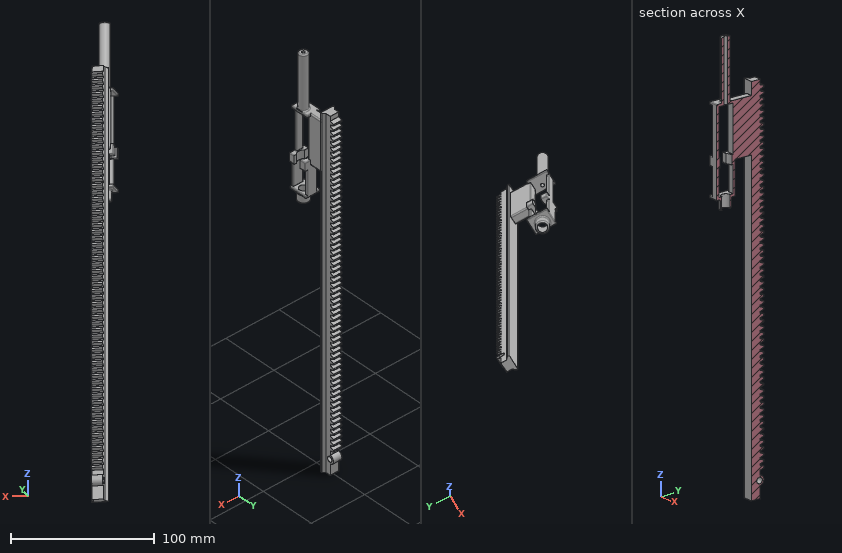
import cadquery as cq
import math

AXIS_X = 8.0
AXIS_Y = 8.2

BAR_HEIGHT = 311.6
FLANGE_WIDTH = 12.0
RACK_INSET = 2.0
FLANGE_FACE_Y = 30.4
FLANGE_SIDE_TOP_Y = 31.8
NECK_START_Y = FLANGE_SIDE_TOP_Y + RACK_INSET
TOOTH_TIP_Y = 41.71

MODULE = 1.5
PITCH = math.pi * MODULE
TOOTH_HEIGHT = 2.25 * MODULE
ADDENDUM = MODULE
PRESSURE_ANGLE = math.radians(20)
TOOTH_COUNT = 61
FIRST_TOOTH_Z = 22.9
ROOT_Y = TOOTH_TIP_Y - TOOTH_HEIGHT

EYE_DIAMETER = 8.0
EYE_HOLE_DIAMETER = 4.5
EYE_Z = 13.7

WALL = 2.3
FRAME_WIDTH = 12.1
FRAME_DEPTH = 16.6
FRAME_TOP_Z = 301.2
EDGE_ROUNDING = 0.5
UPPER_STRIP_X = (3.0, 9.0)
LOWER_WALL_X = (3.0, 12.0)
BOTTOM_PLATE_WIDTH = 13.25
BOTTOM_PLATE_Z = 229.6

WEB_X = (2.0, 9.0)
WEB_BOTTOM_Z = 256.7
WEB_ROUNDING = 1.0

GUIDE_WIDTH = 14.0
GUIDE_Z = (253.4, 261.1)
GUIDE_SLOT_WIDTH = 6.4
GUIDE_BORE_DIAMETER = 10.0

ROD_DIAMETER = 8.0
ROD_HOLE_DIAMETER = 2.5
ROD_TOP_Z = 350.0
END_ROUNDING = 1.0
FOOT_ROUNDING = 0.8
BOSS_DIAMETER = 10.0
BOSS_BORE_DIAMETER = 7.0
BOSS_BOTTOM_Z = 221.6


def block(x_range, y_range, z_range):
    """Rectangular block between the given limits."""
    size = [high - low for low, high in (x_range, y_range, z_range)]
    corner = (x_range[0], y_range[0], z_range[0])
    return cq.Workplane("XY").box(*size, centered=False).translate(corner)


def rounded_block(x_range, y_range, z_range):
    """Block with all its edges rounded."""
    return block(x_range, y_range, z_range).edges().fillet(EDGE_ROUNDING)


def axis_cylinder(diameter, z_low, z_high):
    """Upright cylinder on the rod axis."""
    base = cq.Workplane("XY", origin=(AXIS_X, AXIS_Y, z_low))
    return base.circle(diameter / 2).extrude(z_high - z_low)


def make_bar():
    """Flanged bar up to the tooth roots."""
    neck_right = FLANGE_WIDTH - RACK_INSET
    section = [
        (0, FLANGE_FACE_Y),
        (FLANGE_WIDTH, FLANGE_FACE_Y),
        (FLANGE_WIDTH, FLANGE_SIDE_TOP_Y),
        (neck_right, NECK_START_Y),
        (neck_right, ROOT_Y),
        (RACK_INSET, ROOT_Y),
        (RACK_INSET, NECK_START_Y),
        (0, FLANGE_SIDE_TOP_Y),
    ]
    return cq.Workplane("XY").polyline(section).close().extrude(BAR_HEIGHT)


def make_teeth():
    """Straight-flanked rack teeth, slightly sunk into the bar."""
    slope = math.tan(PRESSURE_ANGLE)
    tip_half = PITCH / 4 - ADDENDUM * slope
    root_half = tip_half + TOOTH_HEIGHT * slope
    sunk_y = ROOT_Y - MODULE / 2
    neck_width = FLANGE_WIDTH - 2 * RACK_INSET
    teeth = cq.Workplane("YZ", origin=(RACK_INSET, 0, 0))
    for index in range(TOOTH_COUNT):
        z = FIRST_TOOTH_Z + index * PITCH
        profile = [
            (sunk_y, z - root_half),
            (ROOT_Y, z - root_half),
            (TOOTH_TIP_Y, z - tip_half),
            (TOOTH_TIP_Y, z + tip_half),
            (ROOT_Y, z + root_half),
            (sunk_y, z + root_half),
        ]
        teeth = teeth.polyline(profile).close()
    return teeth.extrude(neck_width)


def eye_cylinder(diameter):
    """Cylinder along X through the eye, as wide as the toothed neck."""
    center_y = TOOTH_TIP_Y - EYE_DIAMETER / 2
    base = cq.Workplane("YZ", origin=(RACK_INSET, center_y, EYE_Z))
    return base.circle(diameter / 2).extrude(FLANGE_WIDTH - 2 * RACK_INSET)


def make_rack():
    """Rack bar with its teeth and the drilled eye."""
    rack = make_bar().union(make_teeth()).union(eye_cylinder(EYE_DIAMETER))
    return rack.cut(eye_cylinder(EYE_HOLE_DIAMETER))


def make_web():
    """Web joining the frame to the flange, sunk into it by the edge rounding."""
    y_range = (FRAME_DEPTH - WALL, FLANGE_FACE_Y + WEB_ROUNDING)
    web = block(WEB_X, y_range, (WEB_BOTTOM_Z, FRAME_TOP_Z))
    web = web.edges("|Y").fillet(WEB_ROUNDING)
    return web.faces("<Y").edges().fillet(EDGE_ROUNDING)


def make_frame():
    """Top and bottom plates joined by the front strip and the lower walls."""
    plate_y = (0, FRAME_DEPTH)
    front_y = (0, WALL)
    back_y = (FRAME_DEPTH - WALL, FRAME_DEPTH)
    bottom_z = (BOTTOM_PLATE_Z, BOTTOM_PLATE_Z + WALL)
    lower_z = (BOTTOM_PLATE_Z, GUIDE_Z[1])
    frame = rounded_block((0, FRAME_WIDTH), plate_y, (FRAME_TOP_Z - WALL, FRAME_TOP_Z))
    frame = frame.union(rounded_block(UPPER_STRIP_X, front_y, (GUIDE_Z[0], FRAME_TOP_Z)))
    frame = frame.union(rounded_block(LOWER_WALL_X, front_y, lower_z))
    frame = frame.union(rounded_block(LOWER_WALL_X, back_y, lower_z))
    return frame.union(rounded_block((0, BOTTOM_PLATE_WIDTH), (0, FRAME_DEPTH), bottom_z))


def make_guide():
    """Guide block split by a slot along X and bored on the rod axis."""
    slot_y = (AXIS_Y - GUIDE_SLOT_WIDTH / 2, AXIS_Y + GUIDE_SLOT_WIDTH / 2)
    guide = rounded_block((0, GUIDE_WIDTH), (0, FRAME_DEPTH), GUIDE_Z)
    guide = guide.cut(block((0, GUIDE_WIDTH), slot_y, GUIDE_Z))
    return guide.cut(axis_cylinder(GUIDE_BORE_DIAMETER, *GUIDE_Z))


def make_post(diameter, foot_z, end_z):
    """Post on the rod axis with a rounded end and a hollow fillet at its foot."""
    radius = diameter / 2
    direction = 1 if end_z > foot_z else -1
    height = abs(end_z - foot_z)
    profile = (
        cq.Workplane("XY")
        .lineTo(radius + FOOT_ROUNDING, 0)
        .radiusArc((radius, FOOT_ROUNDING), FOOT_ROUNDING)
        .lineTo(radius, height - END_ROUNDING)
        .radiusArc((radius - END_ROUNDING, height), -END_ROUNDING)
        .lineTo(0, height)
        .close()
    )
    post = profile.revolve(360, (0, 0, 0), (0, 1, 0))
    post = post.rotate((0, 0, 0), (1, 0, 0), 90 * direction)
    return post.translate((AXIS_X, AXIS_Y, foot_z))


def make_rod():
    """Rod on the top plate, its foot trimmed to the side of the plate."""
    rod = make_post(ROD_DIAMETER, FRAME_TOP_Z, ROD_TOP_Z)
    return rod.intersect(block((0, FRAME_WIDTH), (0, FRAME_DEPTH), (FRAME_TOP_Z, ROD_TOP_Z)))


def make_boss():
    """Boss under the bottom plate, its foot trimmed to the side of the plate."""
    boss = make_post(BOSS_DIAMETER, BOTTOM_PLATE_Z, BOSS_BOTTOM_Z)
    trim = block((0, BOTTOM_PLATE_WIDTH), (0, FRAME_DEPTH), (BOSS_BOTTOM_Z, BOTTOM_PLATE_Z))
    return boss.intersect(trim)


def make_part():
    """Rack, web, frame, guide, rod and boss as one solid with its bores."""
    part = make_rack()
    for piece in (make_web(), make_frame(), make_guide(), make_rod(), make_boss()):
        part = part.union(piece)
    part = part.cut(axis_cylinder(ROD_HOLE_DIAMETER, FRAME_TOP_Z - WALL, ROD_TOP_Z))
    boss_top_z = BOTTOM_PLATE_Z + WALL
    return part.cut(axis_cylinder(BOSS_BORE_DIAMETER, BOSS_BOTTOM_Z, boss_top_z))


result = make_part()